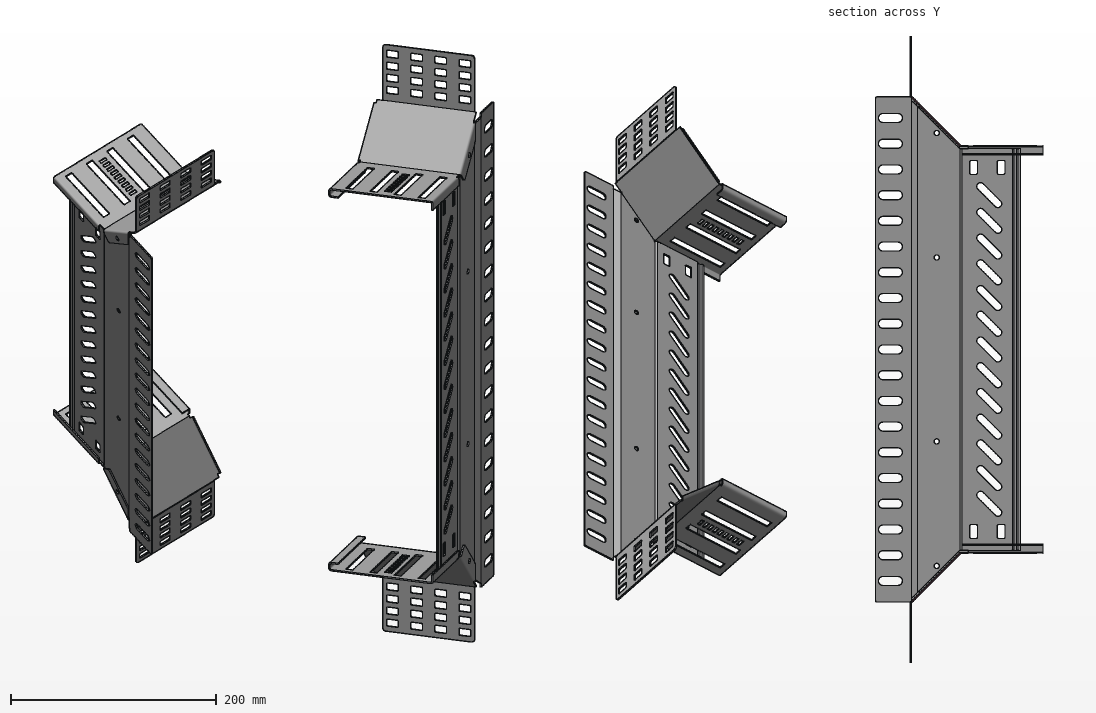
import cadquery as cq
import math


thickness = 1.5
bend_radius = 3.0
front_bend_radius = 2.1
overall_width = 163.0
overall_depth = 111.0
overall_height = 608.0
flange_slot_count = 19
flange_slot_span = 450.0
hole_pitch = flange_slot_span / (flange_slot_count - 1)
slot_width = 7.0
short_slot_length = 12.0
short_slot_corner_radius = 1.0

tray_level = 198.0
tray_length = 79.5
wall_rise = 48.0
wall_angle = 45
wall_length = wall_rise * math.sqrt(2)
half_bend_tangent = math.tan(math.radians(wall_angle / 2))
end_plate_x = tray_length + wall_rise
wall_top = tray_level + wall_rise
tab_front = 3.35
lip_height = 9.0
hook_length = 10.0
front_lip_length = 73.0
back_lip_length = 78.0
wall_lip_start = 2.0
wall_lip_length = 62.5
wall_lip_height = 3.5
tab_height = 14.0
tab_corner_radius = 2.5
tab_end_x = 120.5
end_plate_front = 7.0
end_plate_back = 102.0
end_plate_corner_radius = 3.0
hole_columns_center = (end_plate_front + end_plate_back) / 2

column_count = 4
tray_slot_length = 61.5
tray_slot_center_x = 37.0
slit_count = 9
slit_pitch = 6.0
slit_width = 3.0
slit_length = 7.0
slit_center_x = 37.0
slit_center_y = 54.0
end_row_count = 4
end_row_pitch = hole_pitch / 2
end_row_top = 295.0

flange_half_height = 246.0
panel_front = tab_front + thickness
strip_front = panel_front + thickness
strip_left = 22.0
bead_left = 24.5
bead_right = 30.0
step_x = 79.0
joggle_start_x = 122.0
flange_bend_x = end_plate_x
flange_corner_radius = 2.0

diagonal_count = 13
diagonal_slot_length = 31.0
diagonal_slot_angle = 45
diagonal_slot_x = 52.0
corner_slot_center_x = 54.0
corner_slot_offset = 13.5
corner_slot_length = 13.5
corner_slot_z = 177.0
panel_hole_diameter = 5.0
panel_hole_x = 103.5
panel_hole_z = 89.5
rivet_hole_z = 210.5
flange_slot_length = 23.0
flange_slot_width = 8.5
flange_slot_x = 148.5


def sheet_outline(path):
    """Closed outline of a sheet whose left face follows the open path of points."""
    headings = [math.atan2(b[1] - a[1], b[0] - a[0]) for a, b in zip(path, path[1:])]
    right_face = []
    for i, (u, v) in enumerate(path):
        before = headings[max(i - 1, 0)]
        after = headings[min(i, len(headings) - 1)]
        middle = (before + after) / 2
        reach = thickness / math.cos((after - before) / 2)
        right_face.append((u + reach * math.sin(middle), v - reach * math.cos(middle)))
    return path + right_face[::-1]


def evenly_spaced(count, pitch, center=0.0):
    return [center + pitch * (i - (count - 1) / 2) for i in range(count)]


def slot_cutter(plane, points, length, width, angle=0):
    """Round-ended slots through the whole part, perpendicular to the plane."""
    return (
        cq.Workplane(plane)
        .pushPoints(points)
        .slot2D(length, width, angle)
        .extrude(overall_height, both=True)
    )


def short_slot_cutter(plane, points, width, height):
    """Rectangular slots with rounded corners, perpendicular to the plane."""
    profile = cq.Sketch().rect(width, height).vertices().fillet(short_slot_corner_radius)
    return (
        cq.Workplane(plane)
        .pushPoints(points)
        .placeSketch(profile)
        .extrude(overall_height, both=True)
    )


def round_cutter(points, diameter):
    return (
        cq.Workplane("XZ")
        .pushPoints(points)
        .circle(diameter / 2)
        .extrude(overall_height, both=True)
    )


tray_plane = cq.Plane(origin=(0, 0, tray_level), xDir=(0, 1, 0), normal=(1, 0, 0))
wall_plane = cq.Plane(origin=(tray_length, 0, tray_level), xDir=(0, 1, 0), normal=(1, 0, 1))


def front_fold(plane, height, length):
    """Edge of the bracket folded down along its front."""
    inner = tab_front + thickness
    bend_end = tab_front + front_bend_radius
    return (
        cq.Workplane(plane)
        .moveTo(bend_end, 0)
        .radiusArc((tab_front, -front_bend_radius), -front_bend_radius)
        .lineTo(tab_front, -height)
        .lineTo(inner, -height)
        .lineTo(inner, -front_bend_radius)
        .radiusArc((bend_end, -thickness), front_bend_radius - thickness)
        .close()
        .extrude(length)
    )


def hooked_tray_lip():
    """Edge of the tray folded down along its back and returned inwards."""
    outer = overall_depth
    inner = outer - thickness
    bend_end = outer - bend_radius
    inner_radius = bend_radius - thickness
    return (
        cq.Workplane(tray_plane)
        .moveTo(bend_end, 0)
        .radiusArc((outer, -bend_radius), bend_radius)
        .lineTo(outer, bend_radius - lip_height)
        .radiusArc((bend_end, -lip_height), bend_radius)
        .lineTo(outer - hook_length, -lip_height)
        .lineTo(outer - hook_length, thickness - lip_height)
        .lineTo(bend_end, thickness - lip_height)
        .radiusArc((inner, bend_radius - lip_height), -inner_radius)
        .lineTo(inner, -bend_radius)
        .radiusArc((bend_end, -thickness), -inner_radius)
        .close()
        .extrude(back_lip_length)
    )


def wall_lip():
    """Short plain lip along the back of the wall, clear of the hooked lip of the tray."""
    outer = overall_depth
    inner = outer - thickness
    bend_end = outer - bend_radius
    return (
        cq.Workplane(wall_plane)
        .workplane(offset=wall_lip_start)
        .moveTo(bend_end, 0)
        .radiusArc((outer, -bend_radius), bend_radius)
        .lineTo(outer, -wall_lip_height)
        .lineTo(inner, -wall_lip_height)
        .lineTo(inner, -bend_radius)
        .radiusArc((bend_end, -thickness), thickness - bend_radius)
        .close()
        .extrude(wall_lip_length)
    )


def tray_and_wall():
    path = [(0, tray_level), (tray_length, tray_level), (end_plate_x, wall_top)]
    return (
        cq.Workplane("XZ", origin=(0, tab_front + front_bend_radius, 0))
        .polyline(sheet_outline(path))
        .close()
        .extrude(-(overall_depth - bend_radius - tab_front - front_bend_radius))
    )


def end_plate():
    foot_drop = thickness * half_bend_tangent
    return (
        cq.Workplane("XZ", origin=(0, end_plate_front, 0))
        .moveTo(end_plate_x, wall_top)
        .lineTo(end_plate_x, overall_height / 2)
        .lineTo(end_plate_x + thickness, overall_height / 2)
        .lineTo(end_plate_x + thickness, wall_top - foot_drop)
        .lineTo(end_plate_x - thickness, wall_top - thickness - foot_drop)
        .close()
        .extrude(end_plate_front - end_plate_back)
        .edges("|X and >Z")
        .fillet(end_plate_corner_radius)
    )


def rivet_tab():
    beyond_end = cq.Workplane("XY").box(
        overall_width, overall_depth, overall_height, centered=(False, False, False)
    ).translate((tab_end_x, 0, 0))
    return (
        front_fold(wall_plane, tab_height, wall_length)
        .edges("|Y and >(1, 0, -1)")
        .fillet(tab_corner_radius)
        .cut(beyond_end)
    )


def tray_openings():
    rows = evenly_spaced(column_count, hole_pitch, hole_columns_center)
    slits = evenly_spaced(slit_count, slit_pitch, slit_center_x)
    long_slots = (
        cq.Workplane("XY")
        .pushPoints([(tray_slot_center_x, y) for y in rows])
        .rect(tray_slot_length, slot_width)
        .extrude(overall_height)
    )
    short_slits = (
        cq.Workplane("XY")
        .pushPoints([(x, slit_center_y) for x in slits])
        .rect(slit_width, slit_length)
        .extrude(overall_height)
    )
    return long_slots.union(short_slits)


def end_plate_openings():
    columns = evenly_spaced(column_count, hole_pitch, hole_columns_center)
    rows = [end_row_top - i * end_row_pitch for i in range(end_row_count)]
    points = [(y, z) for y in columns for z in rows]
    return short_slot_cutter("YZ", points, short_slot_length, slot_width)


def upper_bracket():
    body = (
        tray_and_wall()
        .union(end_plate())
        .union(front_fold(tray_plane, lip_height, front_lip_length))
        .union(rivet_tab())
        .union(hooked_tray_lip())
        .union(wall_lip())
    )
    return (
        body.cut(tray_openings())
        .cut(end_plate_openings())
        .cut(round_cutter([(panel_hole_x, rivet_hole_z)], panel_hole_diameter))
    )


def base_section():
    """The bent sheet, before its ends are trimmed to the outline."""
    strip_back = strip_front + thickness
    panel_back = panel_front + thickness
    path = [
        (strip_left, strip_back),
        (bead_left, strip_back),
        (bead_left + thickness, panel_back),
        (bead_right - thickness, panel_back),
        (bead_right, strip_back),
        (step_x, strip_back),
        (step_x + thickness, panel_back),
        (joggle_start_x, panel_back),
        (flange_bend_x, thickness),
        (overall_width, thickness),
    ]
    return (
        cq.Workplane("XY")
        .polyline(sheet_outline(path))
        .close()
        .extrude(flange_half_height, both=True)
    )


def base_outline():
    """Silhouette that trims the ends of the base clear of the bracket bends."""
    half_strip = tray_level - bend_radius
    corner_x = tray_length + bend_radius * half_bend_tangent
    slope_top = half_strip + flange_bend_x - corner_x
    upper = [
        (0, half_strip),
        (corner_x, half_strip),
        (flange_bend_x, slope_top),
        (flange_bend_x, flange_half_height),
        (overall_width, flange_half_height),
    ]
    lower = [(x, -z) for x, z in reversed(upper)]
    return (
        cq.Workplane("XZ")
        .polyline(upper + lower)
        .close()
        .extrude(-overall_depth)
        .edges("|Y and >X")
        .fillet(flange_corner_radius)
    )


def base_openings():
    diagonals = [(diagonal_slot_x, z) for z in evenly_spaced(diagonal_count, hole_pitch)]
    flange_slots = [(flange_slot_x, z) for z in evenly_spaced(flange_slot_count, hole_pitch)]
    corner_slots = [
        (corner_slot_center_x + side * corner_slot_offset, end * corner_slot_z)
        for side in (-1, 1)
        for end in (-1, 1)
    ]
    holes = [(panel_hole_x, end * z) for z in (panel_hole_z, rivet_hole_z) for end in (-1, 1)]
    return [
        slot_cutter("XZ", diagonals, diagonal_slot_length, slot_width, diagonal_slot_angle),
        slot_cutter("XZ", flange_slots, flange_slot_length, flange_slot_width),
        short_slot_cutter("XZ", corner_slots, slot_width, corner_slot_length),
        round_cutter(holes, panel_hole_diameter),
    ]


def base_sheet():
    body = base_section().intersect(base_outline())
    for opening in base_openings():
        body = body.cut(opening)
    return body


base = base_sheet()
bracket_top = upper_bracket()
bracket_bottom = bracket_top.mirror("XY")

result = cq.Compound.makeCompound([base.val(), bracket_top.val(), bracket_bottom.val()])